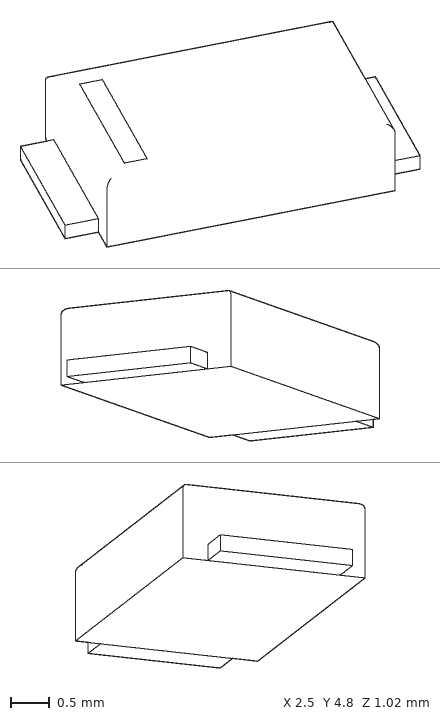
import cadquery as cq

overall_length = 4.8
housing_width = 2.5
housing_length = 3.9
housing_height = 1.02
top_edge_radius = 0.1

lead_width = 1.815
lead_thickness = 0.215
lead_length = (overall_length - housing_length) / 2

mark_width = lead_width
mark_length = 0.305
mark_depth = 0.025
mark_center_y = -1.445


def make_mark():
    """Thin bar whose top is level with the housing top."""
    return (
        cq.Workplane("XY", origin=(0, mark_center_y, housing_height - mark_depth))
        .rect(mark_width, mark_length)
        .extrude(mark_depth)
    )


def make_housing(mark):
    """Block with rounded top edges and a recess that holds the mark."""
    block = cq.Workplane("XY").rect(housing_width, housing_length).extrude(housing_height)
    return block.faces(">Z").edges().fillet(top_edge_radius).cut(mark).solids()


def make_lead(side):
    """Flat lead against the housing end; side is -1 for -Y and 1 for +Y."""
    center_y = side * (housing_length + lead_length) / 2
    return (
        cq.Workplane("XY", origin=(0, center_y, 0))
        .rect(lead_width, lead_length)
        .extrude(lead_thickness)
    )


mark = make_mark()
housing = make_housing(mark)
leads = [make_lead(side) for side in (-1, 1)]

result = cq.Compound.makeCompound([housing.val(), mark.val(), *[lead.val() for lead in leads]])